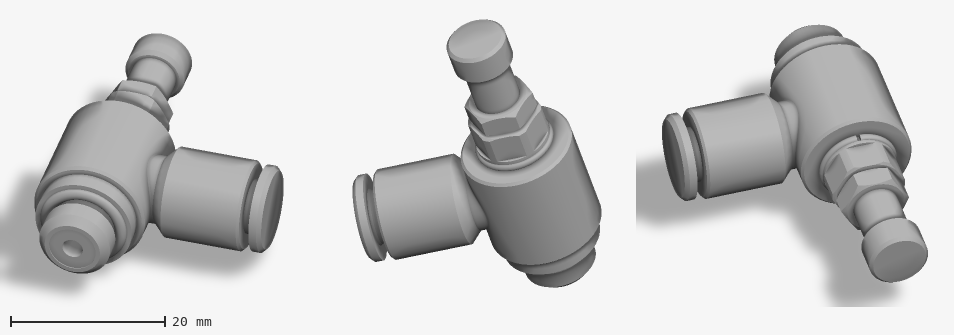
import cadquery as cq
import math


housing_diameter = 15.0
housing_radius = housing_diameter / 2
housing_half_length = housing_radius
housing_chamfer = 0.35

barrel_neck_radius = 4.5
barrel_neck_fillet = 0.2
barrel_radius = 6.0
barrel_cone_start = 7.73
barrel_cone_end = barrel_cone_start + barrel_radius - barrel_neck_radius
barrel_end = 19.75
barrel_chamfer = 0.35
release_stem_radius = 3.6
release_taper_start = 20.7
release_taper_radius = 3.8
release_flange_start = 21.05
release_flange_radius = 5.75
release_flange_chamfer = 0.55
elbow_length = 30.1
release_end = elbow_length - housing_radius

shaft_radius = 4.5

knob_top = 26.9
knob_bottom = 22.4
knob_radius = 4.0
knob_top_chamfer = 0.4
knob_bottom_chamfer = 0.5
stem_radius = 3.02

nut_top = 16.13
nut_bottom = 13.15
nut_across_flats = 8.0
nut_bevel_radius = 3.85
hexagon_top = 13.05
hexagon_across_flats = 2 * shaft_radius
hexagon_bevel_radius = 4.55
head_radius = 4.9
head_collar_top = 9.15
head_bottom = 8.6
bevel_slope = math.tan(math.radians(30))
corners_per_flats = 1 / math.cos(math.pi / 6)

ring_wire_radius = (head_bottom - housing_half_length) / 2
ring_outer_radius = 5.25
ring_gap = 0.5

collar_clearance = 0.13
collar_top = -housing_half_length - collar_clearance
collar_bottom = -9.95
collar_radius = 6.5
seal_outer_radius = 5.9
seal_protrusion = 0.6

stud_bottom = -15.1
thread_radius = 4.8
thread_neck_radius = 4.15
thread_neck_end = -10.95
thread_start = thread_neck_end - (thread_radius - thread_neck_radius)
thread_end_radius = 3.75
thread_chamfer_length = 1.1
end_recess_radius = 3.15
end_recess_depth = 0.13
end_hole_radius = 1.4
end_hole_depth = 5.05


def stud_cylinder(radius, top, bottom):
    """Cylinder on the Y axis between two heights."""
    return cq.Workplane("XZ", origin=(0, top, 0)).circle(radius).extrude(top - bottom)


def hexagon_prism(across_flats, top, bottom):
    """Hexagonal prism on the Y axis with flats facing +Z and -Z."""
    across_corners = across_flats * corners_per_flats
    return cq.Workplane("XZ", origin=(0, top, 0)).polygon(6, across_corners).extrude(top - bottom)


def stud_turning(outline):
    """Revolve (radius, y) points, closed along the Y axis."""
    return cq.Workplane("XY").polyline(outline).close().revolve(360, (0, 0), (0, 1))


def stud_ring(center_radius, wire_radius, y):
    """Ring of round wire around the Y axis."""
    wire = cq.Workplane("XY").center(center_radius, y).circle(wire_radius)
    return wire.revolve(360, (-center_radius, 0), (-center_radius, 1))


def make_housing():
    housing = stud_cylinder(housing_radius, housing_half_length, -housing_half_length)
    return housing.edges().chamfer(housing_chamfer)


def make_barrel():
    outline = [
        (0, 0),
        (0, barrel_neck_radius),
        (barrel_cone_start, barrel_neck_radius),
        (barrel_cone_end, barrel_radius),
        (barrel_end - barrel_chamfer, barrel_radius),
        (barrel_end, barrel_radius - barrel_chamfer),
        (barrel_end, release_stem_radius),
        (release_taper_start, release_stem_radius),
        (release_flange_start, release_taper_radius),
        (release_flange_start, release_flange_radius),
        (release_end - release_flange_chamfer, release_flange_radius),
        (release_end, release_flange_radius - release_flange_chamfer),
        (release_end, 0),
    ]
    return cq.Workplane("XY").polyline(outline).close().revolve(360, (0, 0), (1, 0))


def make_elbow():
    bore = stud_cylinder(shaft_radius, housing_half_length, -housing_half_length)
    elbow = make_housing().union(make_barrel())
    neck_joint = cq.selectors.BoxSelector(
        (housing_radius / 2, -barrel_radius, -barrel_radius),
        (housing_radius - housing_chamfer, barrel_radius, barrel_radius),
    )
    return elbow.edges(neck_joint).fillet(barrel_neck_fillet).cut(bore)


def make_knob_and_stem():
    return stud_turning([
        (0, knob_top),
        (knob_radius - knob_top_chamfer, knob_top),
        (knob_radius, knob_top - knob_top_chamfer),
        (knob_radius, knob_bottom + knob_bottom_chamfer),
        (knob_radius - knob_bottom_chamfer, knob_bottom),
        (stem_radius, knob_bottom),
        (stem_radius, hexagon_top),
        (0, hexagon_top),
    ])


def make_nut():
    corner_radius = nut_across_flats / 2 * corners_per_flats
    bevel_height = (corner_radius - nut_bevel_radius) * bevel_slope
    bevels = stud_turning([
        (0, nut_top),
        (nut_bevel_radius, nut_top),
        (corner_radius, nut_top - bevel_height),
        (corner_radius, nut_bottom + bevel_height),
        (nut_bevel_radius, nut_bottom),
        (0, nut_bottom),
    ])
    return hexagon_prism(nut_across_flats, nut_top, nut_bottom).intersect(bevels)


def make_hexagon_head():
    bevel_height = (head_radius - hexagon_bevel_radius) * bevel_slope
    rounded_corners = stud_turning([
        (0, hexagon_top),
        (hexagon_bevel_radius, hexagon_top),
        (head_radius, hexagon_top - bevel_height),
        (head_radius, head_collar_top),
        (0, head_collar_top),
    ])
    hexagon = hexagon_prism(hexagon_across_flats, hexagon_top, head_collar_top)
    head_collar = stud_cylinder(head_radius, head_collar_top, head_bottom)
    return hexagon.intersect(rounded_corners).union(head_collar)


def make_retaining_ring():
    ring_y = (head_bottom + housing_half_length) / 2
    ring = stud_ring(ring_outer_radius - ring_wire_radius, ring_wire_radius, ring_y)
    gap_cutter = cq.Workplane("XY", origin=(0, ring_y, 0)).box(
        ring_gap, 2 * ring_wire_radius, ring_outer_radius, centered=(True, True, False)
    )
    return ring.cut(gap_cutter)


def make_collar_and_seal():
    collar = stud_cylinder(collar_radius, collar_top, collar_bottom)
    wire_radius = (seal_outer_radius - thread_neck_radius) / 2
    seal_y = collar_bottom - seal_protrusion + wire_radius
    seal = stud_ring(seal_outer_radius - wire_radius, wire_radius, seal_y)
    return collar.union(seal)


def make_threaded_end():
    threaded_end = stud_turning([
        (0, collar_bottom),
        (thread_neck_radius, collar_bottom),
        (thread_neck_radius, thread_neck_end),
        (thread_radius, thread_start),
        (thread_radius, stud_bottom + thread_chamfer_length),
        (thread_end_radius, stud_bottom),
        (0, stud_bottom),
    ])
    recess = stud_cylinder(end_recess_radius, stud_bottom + end_recess_depth, stud_bottom)
    hole = stud_cylinder(end_hole_radius, stud_bottom + end_hole_depth, stud_bottom)
    return threaded_end.cut(recess).cut(hole)


def make_stud():
    shaft = stud_cylinder(shaft_radius, head_bottom, collar_top)
    stud = shaft.union(make_hexagon_head()).union(make_nut()).union(make_knob_and_stem())
    stud = stud.union(make_retaining_ring()).union(make_collar_and_seal())
    return stud.union(make_threaded_end())


elbow = make_elbow()
stud = make_stud()
result = cq.Compound.makeCompound([elbow.solids().val(), stud.solids().val()])